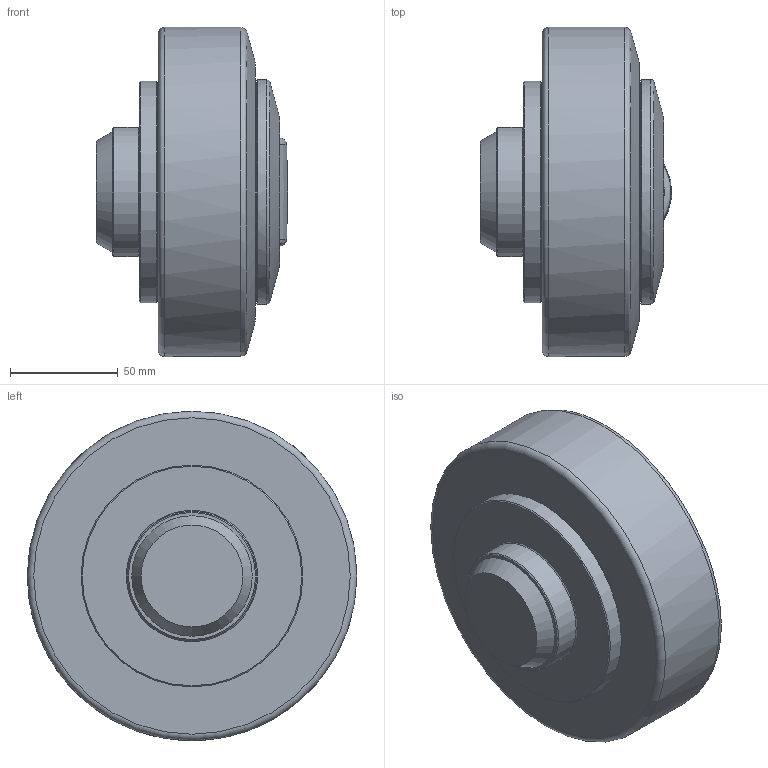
import cadquery as cq
import math


PIN_TAPER_END = 7.5
FLANGE_START = 20.0
ROLLER_START = 28.75
ROLLER_END = 73.8
CAP_START = 74.5
CAP_END = 85.1
OVERALL_LENGTH = 89.0

PIN_RADIUS = 30.0
PIN_TAPER_RADIUS = 28.0
PIN_TAPER_ANGLE = 30.0
PIN_CHAMFER = 0.5
PIN_RELIEF = 0.5

FLANGE_RADIUS = 103.0 / 2
FLANGE_CHAMFER = 0.5
FLANGE_GAP = 0.5
FLANGE_NECK_RADIUS = 101.2 / 2

ROLLER_RADIUS = 153.0 / 2
ROLLER_FILLET = 3.0
ROLLER_FACE_RADIUS = 60.0

CAP_RADIUS = 104.5 / 2
CAP_NECK_RADIUS = 101.4 / 2
CAP_CHAMFER = 0.5
CAP_FILLET = 1.5
CAP_FACE_RADIUS = 34.5

CONE_ANGLE = 15.0

AXIAL_RADIUS = 25.0
AXIAL_HALF_LENGTH = 25.0
AXIAL_FILLET = 3.0
AXIAL_CROWN = 0.7


def turned(points):
    """Solid of revolution about X from (x, radius) points; the outline closes along the axis."""
    return cq.Workplane("XY").polyline(points).close().revolve(360, (0, 0, 0), (1, 0, 0))


def make_pin():
    tip_radius = PIN_TAPER_RADIUS - PIN_TAPER_END * math.tan(math.radians(PIN_TAPER_ANGLE))
    return turned([
        (0, 0),
        (0, tip_radius),
        (PIN_TAPER_END, PIN_TAPER_RADIUS),
        (PIN_TAPER_END, PIN_RADIUS - PIN_CHAMFER),
        (PIN_TAPER_END + PIN_CHAMFER, PIN_RADIUS),
        (FLANGE_START - PIN_RELIEF, PIN_RADIUS),
        (FLANGE_START, PIN_RADIUS + PIN_RELIEF),
        (FLANGE_START, 0),
    ])


def make_flange():
    rim_end = ROLLER_START - FLANGE_GAP
    length = rim_end - FLANGE_START
    rim = cq.Workplane("YZ", origin=(FLANGE_START, 0, 0)).circle(FLANGE_RADIUS).extrude(length)
    rim = rim.edges().chamfer(FLANGE_CHAMFER)
    neck = cq.Workplane("YZ", origin=(rim_end, 0, 0)).circle(FLANGE_NECK_RADIUS).extrude(FLANGE_GAP)
    return rim.union(neck)


def coned_disc(start, end, radius, face_radius):
    """Disc whose far side is a cone running in to a flat face of the given radius."""
    shoulder = end - (radius - face_radius) * math.tan(math.radians(CONE_ANGLE))
    return turned([(start, 0), (start, radius), (shoulder, radius), (end, face_radius), (end, 0)])


def make_roller():
    disc = coned_disc(ROLLER_START, ROLLER_END, ROLLER_RADIUS, ROLLER_FACE_RADIUS)
    outer_edges = cq.selectors.RadiusNthSelector(-1)
    return disc.edges(outer_edges).fillet(ROLLER_FILLET)


def make_cap():
    disc = coned_disc(CAP_START, CAP_END, CAP_RADIUS, CAP_FACE_RADIUS)
    outer_edges = cq.selectors.RadiusNthSelector(-1)
    disc = disc.edges(outer_edges).edges(">X").fillet(CAP_FILLET)
    disc = disc.faces("<X").edges().chamfer(CAP_CHAMFER)
    neck_length = CAP_START - ROLLER_END
    neck = cq.Workplane("YZ", origin=(ROLLER_END, 0, 0)).circle(CAP_NECK_RADIUS).extrude(neck_length)
    return disc.union(neck)


def make_axial_roller():
    """Whole barrel with its axis set back so that its crown reaches the overall length."""
    axis_x = OVERALL_LENGTH - AXIAL_RADIUS
    end_radius = AXIAL_RADIUS - AXIAL_CROWN
    profile = (
        cq.Workplane("XZ")
        .moveTo(0, -AXIAL_HALF_LENGTH)
        .lineTo(end_radius, -AXIAL_HALF_LENGTH)
        .threePointArc((AXIAL_RADIUS, 0), (end_radius, AXIAL_HALF_LENGTH))
        .lineTo(0, AXIAL_HALF_LENGTH)
        .close()
    )
    barrel = profile.revolve(360, (0, 0, 0), (0, 1, 0))
    barrel = barrel.faces("<Z or >Z").edges().fillet(AXIAL_FILLET)
    return barrel.translate((axis_x, 0, 0))


result = (
    make_pin()
    .union(make_flange())
    .union(make_roller())
    .union(make_cap())
    .union(make_axial_roller())
)